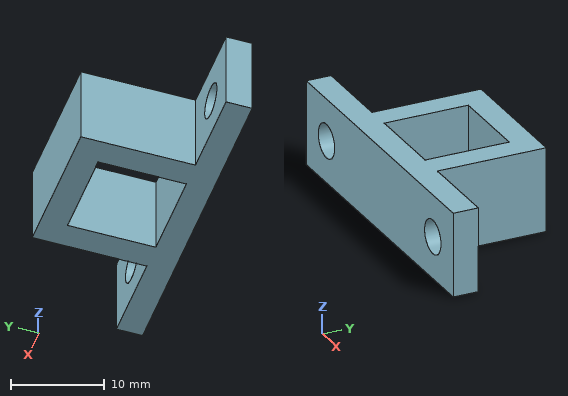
import cadquery as cq

plate_length = 36.0
height = 10.0
wall = 3.0
sleeve_width = 16.0
hole_diameter = 4.0
hole_inset = height / 2

opening_width = sleeve_width - 2 * wall
hole_offset = plate_length / 2 - hole_inset


def upright_block(width, depth, front_y):
    """Full-height block centred on X, with its front face at front_y."""
    return (
        cq.Workplane("XY")
        .box(width, depth, height, centered=(True, False, False))
        .translate((0, front_y, 0))
    )


plate = upright_block(plate_length, wall, 0)

sleeve = upright_block(sleeve_width, sleeve_width, 0)
opening = upright_block(opening_width, opening_width, wall)

screw_holes = (
    cq.Workplane("XZ")
    .pushPoints([(side * hole_offset, height / 2) for side in (-1, 1)])
    .circle(hole_diameter / 2)
    .extrude(-wall)
)

result = plate.union(sleeve).cut(opening).cut(screw_holes)